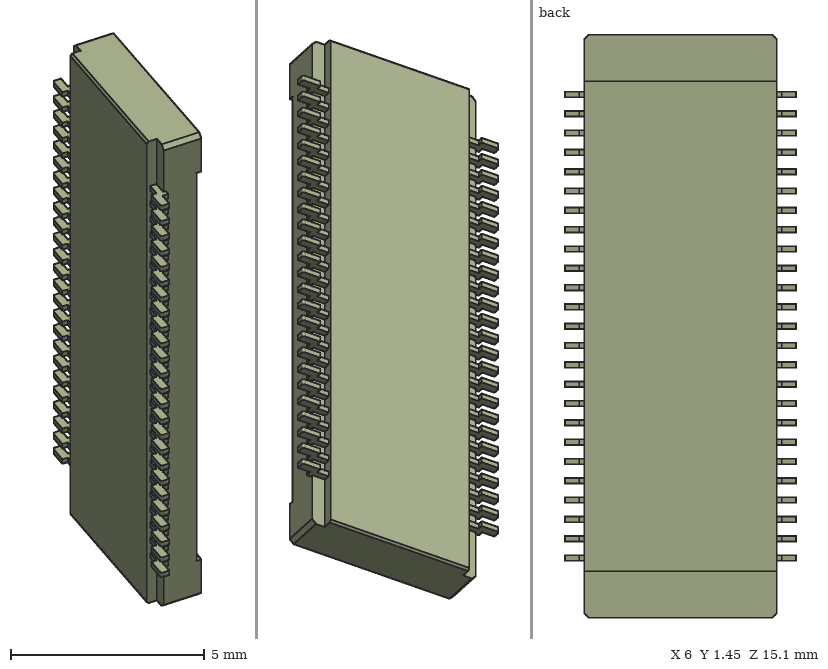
import cadquery as cq

length = 15.1
overall_width = 6.0
overall_depth = 1.45

base_width = 5.0
block_width = 4.23
base_depth = 1.1
housing_depth = 1.4
corner_chamfer = 0.12
block_end_chamfer = 0.06

relief_depth = 0.14
pad_length = 1.21

contacts_per_row = 25
row_span = 12.0
contact_pitch = row_span / (contacts_per_row - 1)
contact_thickness = 0.15
foot_height = 0.24
bar_bottom = 0.15
bar_thickness = 0.18
leg_width = 0.17
leg_height = 0.41
tip_fillet = 0.06
leg_inner_x = 2.46

back_y = overall_depth / 2
foot_y = -overall_depth / 2


def make_housing():
    base = (
        cq.Workplane("XY")
        .box(base_width, base_depth, length)
        .edges("|Y")
        .chamfer(corner_chamfer)
        .translate((0, back_y - base_depth / 2, 0))
    )
    block = (
        cq.Workplane("XY")
        .box(block_width, housing_depth, length)
        .faces("<Y")
        .edges("|X")
        .chamfer(block_end_chamfer)
        .translate((0, back_y - housing_depth / 2, 0))
    )
    relief = (
        cq.Workplane("XY")
        .box(base_width, relief_depth, length - 2 * pad_length)
        .translate((0, back_y - relief_depth / 2, 0))
    )
    return base.union(block).cut(relief)


def make_contact():
    """Right-hand contact at mid-length: bar just clear of the base, upright leg and soldering foot."""
    tip_x = overall_width / 2
    leg_outer_x = leg_inner_x + leg_width
    root_x = block_width / 2
    bar_bottom_y = foot_y + bar_bottom
    bar_top_y = bar_bottom_y + bar_thickness
    profile = [
        (root_x, bar_top_y),
        (leg_inner_x, bar_top_y),
        (leg_inner_x, foot_y + leg_height),
        (leg_outer_x, foot_y + leg_height),
        (leg_outer_x, foot_y + foot_height),
        (tip_x, foot_y + foot_height),
        (tip_x, foot_y),
        (leg_inner_x, foot_y),
        (leg_inner_x, bar_bottom_y),
        (root_x, bar_bottom_y),
    ]
    contact = cq.Workplane("XY").polyline(profile).close().extrude(contact_thickness / 2, both=True)
    return contact.faces("<Y").edges(">X").fillet(tip_fillet)


result = make_housing()
right_contact = make_contact()
left_contact = right_contact.mirror("YZ")
for index in range(contacts_per_row):
    contact_z = index * contact_pitch - row_span / 2
    for contact in (right_contact, left_contact):
        result = result.union(contact.translate((0, 0, contact_z)))